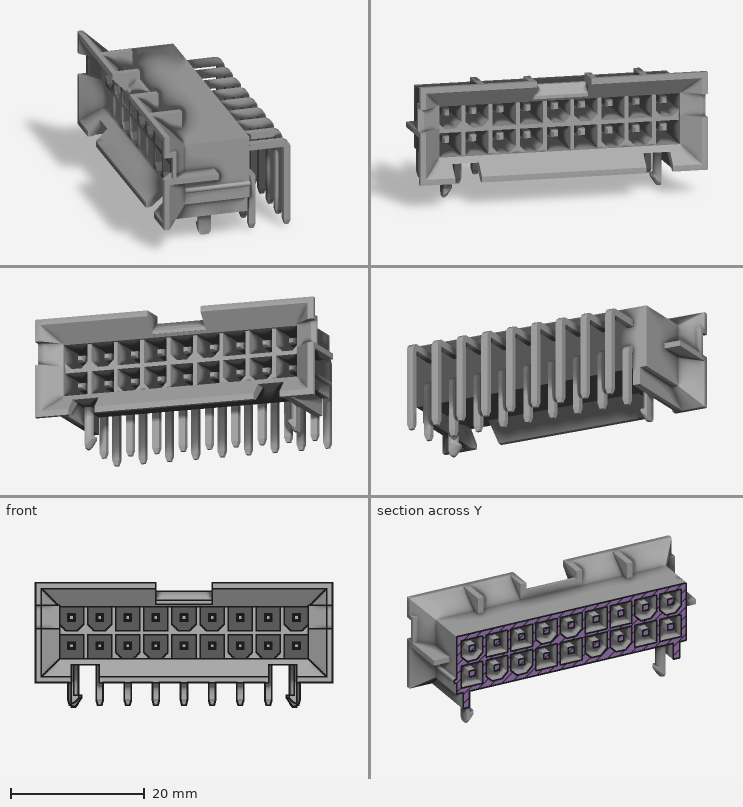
import cadquery as cq


RIM_WIDTH = 44.4
RIM_HEIGHT = 14.95
RIM_DEPTH = 0.8
RIM_WALL = 0.9
FLARE_END = 4.05
FUNNEL_END = 2.65
CELL_START = 3.3

BODY_WIDTH = 39.0
BODY_BOTTOM = 2.65
BODY_TOP = RIM_HEIGHT - BODY_BOTTOM
BODY_BACK = 14.15

COLUMNS = 9
COLUMN_SPAN = 33.6
PITCH = COLUMN_SPAN / (COLUMNS - 1)
CELL_SIZE = 3.6
CELL_BOTTOM_ROW = 3.55
CELL_TOP_ROW = CELL_BOTTOM_ROW + PITCH
CELL_CHAMFER = 0.98
CELL_END = 12.45
FUNNEL_WIDTH = COLUMN_SPAN + CELL_SIZE
FUNNEL_BOTTOM = CELL_BOTTOM_ROW
FUNNEL_TOP = CELL_TOP_ROW + CELL_SIZE
KEYED_UPPER = (0, 1, 4, 5, 8)
KEYED_LOWER = (2, 3, 6, 7)

PIN_SIZE = 1.05
PIN_TIP = 0.6
PIN_TAPER = 0.8
PIN_BEND = 0.2
PIN_START = 5.75
PIN_BOTTOM = -3.37
PIN_Z_LOWER = 5.55
PIN_Z_UPPER = PIN_Z_LOWER + PITCH
PIN_BACK_LOWER = 15.75
PIN_BACK_UPPER = 21.22

KEYWAY_WIDTH = 8.45
RIB_WIDTH = 0.98
KEYWAY_RIB_END = 4.25
RAMP_START = 2.18
RAMP_UNDERSIDE = 11.75
RAMP_CREST = 3.65
RAMP_HEIGHT = 13.68
OUTER_RIB_X = 12.6
OUTER_RIB_END = 5.5

SIDE_NOTCH_BOTTOM = 8.05
SIDE_NOTCH_TOP = 11.6
SIDE_NOTCH_DEPTH = 1.38
SIDE_PLATE_BACK = 1.9
FIN_THICKNESS = 0.85
FIN_END = 8.55
FIN_BOTTOM = SIDE_NOTCH_BOTTOM - FIN_THICKNESS
BEAD_RADIUS = 0.4
BEAD_Z = 4.9

SLOT_INNER = 12.7
SLOT_OUTER = 16.83
LEG_INNER = 17.23
LEG_WIDTH = 1.15
LATCH_Y = 7.95
LATCH_WIDTH = 2.0
POST_RADIUS = 1.05
BARB_RADIUS = 1.5
BARB_TOP = -1.85
BARB_EDGE = -2.25
LATCH_TIP = -3.65
LATCH_TIP_RADIUS = 0.58
NOSE_TOP = -3.35
NOSE_RADIUS = 0.85


def block(x_range, y_range, z_range):
    """Box given by its two limits along each axis."""
    (x0, x1), (y0, y1), (z0, z1) = x_range, y_range, z_range
    return cq.Workplane("XY").box(x1 - x0, y1 - y0, z1 - z0, centered=False).translate((x0, y0, z0))


def taper(width_front, z_front, width_back, z_back, y_front, y_back):
    """Frustum along Y between two rectangles centred on X."""
    return (
        cq.Workplane("XZ", origin=(0, y_front, sum(z_front) / 2))
        .rect(width_front, z_front[1] - z_front[0])
        .workplane(offset=y_front - y_back)
        .center(0, (sum(z_back) - sum(z_front)) / 2)
        .rect(width_back, z_back[1] - z_back[0])
        .loft(combine=True, ruled=True)
    )


def both_sides(shape):
    """The shape together with its mirror image across X = 0."""
    return shape.union(shape.mirror("YZ"))


def shroud_and_housing():
    half_rim = RIM_WIDTH / 2
    half_body = BODY_WIDTH / 2
    rim = block((-half_rim, half_rim), (0, RIM_DEPTH), (0, RIM_HEIGHT))
    flare = taper(RIM_WIDTH, (0, RIM_HEIGHT), BODY_WIDTH, (BODY_BOTTOM, BODY_TOP), RIM_DEPTH, FLARE_END)
    housing = block((-half_body, half_body), (FUNNEL_END, BODY_BACK), (BODY_BOTTOM, BODY_TOP))
    return rim.union(flare).union(housing)


def top_ribs():
    inner = KEYWAY_WIDTH / 2
    z_range = (FUNNEL_TOP, RIM_HEIGHT)
    keyway_rib = block((inner, inner + RIB_WIDTH), (0, KEYWAY_RIB_END), z_range)
    outer_rib = block(
        (OUTER_RIB_X - RIB_WIDTH / 2, OUTER_RIB_X + RIB_WIDTH / 2), (0, OUTER_RIB_END), z_range
    )
    return both_sides(keyway_rib.union(outer_rib))


def side_details():
    """Fins and the plates that back the side recesses."""
    x_range = (BODY_WIDTH / 2, RIM_WIDTH / 2)
    fin = block(x_range, (0, FIN_END), (FIN_BOTTOM, SIDE_NOTCH_BOTTOM))
    plate = block(x_range, (RIM_DEPTH, SIDE_PLATE_BACK), (SIDE_NOTCH_BOTTOM, BODY_TOP))
    return both_sides(fin.union(plate))


def wall_bead():
    """Half-round bead along the +X wall below the fin."""
    return (
        cq.Workplane("XZ", origin=(BODY_WIDTH / 2, BODY_BACK, BEAD_Z))
        .circle(BEAD_RADIUS)
        .extrude(BODY_BACK - FLARE_END)
    )


def legs():
    return both_sides(
        block((LEG_INNER, LEG_INNER + LEG_WIDTH), (RIM_DEPTH, BODY_BACK), (0, BODY_BOTTOM))
    )


def mating_opening():
    """Tapered funnel followed by a short straight stretch up to the pin cavities."""
    entry = taper(
        RIM_WIDTH - 2 * RIM_WALL, (RIM_WALL, RIM_HEIGHT - RIM_WALL),
        FUNNEL_WIDTH, (FUNNEL_BOTTOM, FUNNEL_TOP),
        0, FUNNEL_END,
    )
    half = FUNNEL_WIDTH / 2
    straight = block((-half, half), (FUNNEL_END, CELL_START), (FUNNEL_BOTTOM, FUNNEL_TOP))
    return entry.union(straight)


def side_notches():
    """Recess in each side of the rim with a slanted lead-in to the cavities."""
    rim_inside = RIM_WIDTH / 2 - RIM_WALL
    notch = (
        cq.Workplane("XY", origin=(0, 0, SIDE_NOTCH_BOTTOM))
        .polyline([
            (FUNNEL_WIDTH / 2, 0),
            (RIM_WIDTH / 2, 0),
            (RIM_WIDTH / 2, SIDE_NOTCH_DEPTH),
            (rim_inside, SIDE_NOTCH_DEPTH),
            (FUNNEL_WIDTH / 2, FUNNEL_END),
        ])
        .close()
        .extrude(SIDE_NOTCH_TOP - SIDE_NOTCH_BOTTOM)
    )
    return both_sides(notch)


def keyway_opening():
    """Everything removed from the top wall, down to the lead-in ramp."""
    return (
        cq.Workplane("YZ", origin=(-KEYWAY_WIDTH / 2, 0, 0))
        .polyline([
            (0, FUNNEL_TOP),
            (RAMP_START, FUNNEL_TOP),
            (RAMP_START, BODY_TOP),
            (RAMP_CREST, RAMP_HEIGHT),
            (FLARE_END, RAMP_HEIGHT),
            (FLARE_END, RIM_HEIGHT),
            (0, RIM_HEIGHT),
        ])
        .close()
        .extrude(KEYWAY_WIDTH)
    )


def keyway_ramp_block():
    half = KEYWAY_WIDTH / 2
    return block((-half, half), (RAMP_START, KEYWAY_RIB_END), (RAMP_UNDERSIDE, RAMP_HEIGHT))


def bottom_slots():
    return both_sides(block((SLOT_INNER, SLOT_OUTER), (0, FLARE_END), (0, BODY_BOTTOM)))


def cavity(x, z_floor, keyed):
    half = CELL_SIZE / 2
    cell = block((x - half, x + half), (CELL_START, CELL_END), (z_floor, z_floor + CELL_SIZE))
    if keyed:
        cell = cell.edges("|Y and <Z").chamfer(CELL_CHAMFER)
    return cell


def pin_tip(plane, origin):
    """Tapered end growing along the normal of the given plane."""
    return (
        cq.Workplane(plane, origin=origin)
        .rect(PIN_SIZE, PIN_SIZE)
        .workplane(offset=PIN_TAPER)
        .rect(PIN_TIP, PIN_TIP)
        .loft(combine=True, ruled=True)
    )


def pin(x, z_axis, y_back):
    """Square pin running back along Y and bent down, tapered at both ends."""
    half = PIN_SIZE / 2
    z_top = z_axis + half
    z_under = z_axis - half
    y_inside = y_back - PIN_SIZE
    outer_bend = PIN_BEND + PIN_SIZE
    shank_bottom = PIN_BOTTOM + PIN_TAPER
    shank = (
        cq.Workplane("YZ", origin=(x - half, 0, 0))
        .moveTo(PIN_START, z_top)
        .lineTo(y_back - outer_bend, z_top)
        .radiusArc((y_back, z_top - outer_bend), outer_bend)
        .lineTo(y_back, shank_bottom)
        .lineTo(y_inside, shank_bottom)
        .lineTo(y_inside, z_under - PIN_BEND)
        .radiusArc((y_inside - PIN_BEND, z_under), -PIN_BEND)
        .lineTo(PIN_START, z_under)
        .close()
        .extrude(PIN_SIZE)
    )
    front_tip = pin_tip("XZ", (x, PIN_START, z_axis))
    board_tip = pin_tip("YX", (x, y_back - half, shank_bottom))
    return shank.union(front_tip).union(board_tip)


def latches():
    """Half-round posts with conical barbs, flat on the side facing the legs."""
    half_width = LATCH_WIDTH / 2
    turned = (
        cq.Workplane("XZ")
        .polyline([
            (0, BODY_BOTTOM),
            (POST_RADIUS, BODY_BOTTOM),
            (POST_RADIUS, BARB_TOP),
            (BARB_RADIUS, BARB_TOP),
            (BARB_RADIUS, BARB_EDGE),
            (NOSE_RADIUS, NOSE_TOP),
            (LATCH_TIP_RADIUS, LATCH_TIP),
            (0, LATCH_TIP),
        ])
        .close()
        .revolve(360, (0, 0, 0), (0, 1, 0))
    )
    inward_half = block((-BARB_RADIUS, 0), (-half_width, half_width), (LATCH_TIP, BODY_BOTTOM))
    return both_sides(turned.intersect(inward_half).translate((SLOT_OUTER, LATCH_Y, 0)))


connector = shroud_and_housing()
for addition in (top_ribs(), side_details(), wall_bead(), legs()):
    connector = connector.union(addition)
for removal in (mating_opening(), side_notches(), keyway_opening(), bottom_slots()):
    connector = connector.cut(removal)
connector = connector.union(keyway_ramp_block().cut(keyway_opening())).union(latches())

column_positions = [column * PITCH - COLUMN_SPAN / 2 for column in range(COLUMNS)]
for column, x in enumerate(column_positions):
    connector = connector.cut(cavity(x, CELL_BOTTOM_ROW, column in KEYED_LOWER))
    connector = connector.cut(cavity(x, CELL_TOP_ROW, column in KEYED_UPPER))
for x in column_positions:
    connector = connector.union(pin(x, PIN_Z_LOWER, PIN_BACK_LOWER))
    connector = connector.union(pin(x, PIN_Z_UPPER, PIN_BACK_UPPER))

result = connector